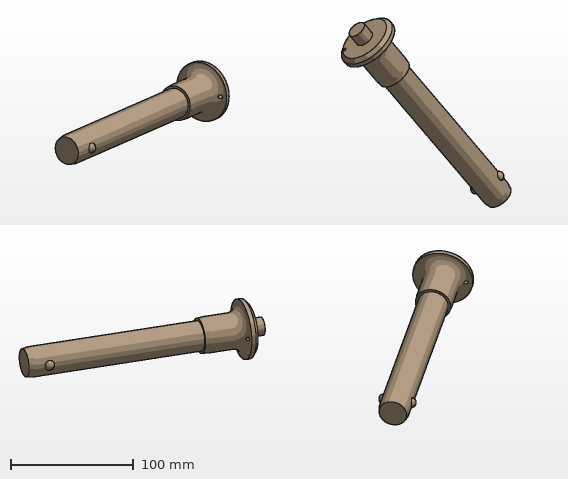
import cadquery as cq
import math

total_length = 206.8
head_face = 11.4
rim_start = 14.5
rim_end = 18.2
body_end = 49.5
collar_start = 52.5
collar_end = 54.5
tip_length = 5.2

button_radius = 7.7
head_face_radius = 21.5
rim_radius = 25.0
body_radius = 15.0
collar_radius = 14.7
shank_radius = 12.6
tip_radius = 11.5

ball_radius = 4.3
ball_reach = 15.5
ball_from_tip = 17.5
hole_diameter = 2.9
hole_offset = 19.9

flare_radius = rim_radius - body_radius
flare_end = rim_end + flare_radius
flare_mid_inset = flare_radius * math.sin(math.radians(45))
button_end_y = total_length / 2


def axial(radius, distance):
    """Profile point at a radius and a distance from the button end."""
    return (radius, button_end_y - distance)


def make_pin():
    """Revolve the button, head, body and shank about the Y axis."""
    flare_middle = axial(rim_radius - flare_mid_inset, flare_end - flare_mid_inset)
    return (
        cq.Workplane("XY")
        .moveTo(*axial(0, 0))
        .lineTo(*axial(button_radius, 0))
        .lineTo(*axial(button_radius, head_face))
        .lineTo(*axial(head_face_radius, head_face))
        .lineTo(*axial(rim_radius, rim_start))
        .lineTo(*axial(rim_radius, rim_end))
        .threePointArc(flare_middle, axial(body_radius, flare_end))
        .lineTo(*axial(body_radius, body_end))
        .lineTo(*axial(collar_radius, collar_start))
        .lineTo(*axial(collar_radius, collar_end))
        .lineTo(*axial(shank_radius, collar_end))
        .lineTo(*axial(shank_radius, total_length - tip_length))
        .lineTo(*axial(tip_radius, total_length))
        .lineTo(*axial(0, total_length))
        .close()
        .revolve(360, (0, 0), (0, 1))
    )


def make_ball(side):
    """Locking ball protruding from the shank on the given X side."""
    ball_x = side * (ball_reach - ball_radius)
    ball_y = ball_from_tip - total_length / 2
    return cq.Workplane("XY").sphere(ball_radius).translate((ball_x, ball_y, 0))


def make_lanyard_hole():
    """Cutter passing through the head parallel to the pin axis."""
    return (
        cq.Workplane("XZ", origin=(hole_offset, button_end_y, 0))
        .circle(hole_diameter / 2)
        .extrude(flare_end)
    )


result = make_pin().cut(make_lanyard_hole())
for side in (-1, 1):
    result = result.union(make_ball(side))